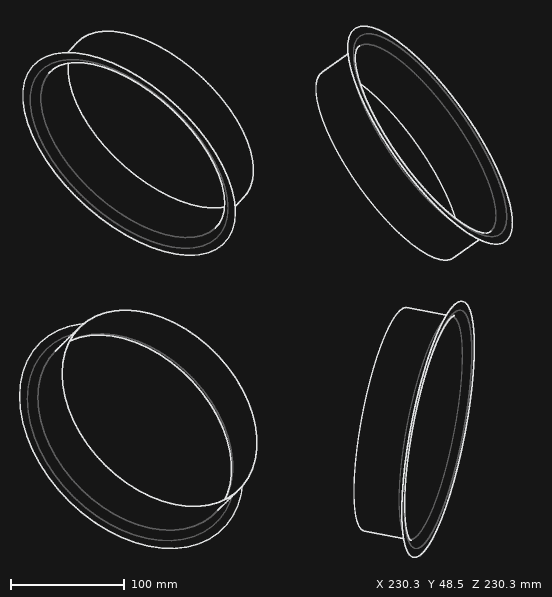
import cadquery as cq
import math

inner_diameter = 200.35
flange_diameter = 230.35
sheet_thickness = 0.5
overall_length = 48.5
bend_inside_radius = 6.5

inner_radius = inner_diameter / 2
outer_radius = inner_radius + sheet_thickness
flange_radius = flange_diameter / 2
bend_outside_radius = bend_inside_radius + sheet_thickness
bend_center_radius = inner_radius + bend_outside_radius
bend_center_y = bend_outside_radius


def bend_midpoint(radius):
    """Middle of a quarter bend, on the side facing the axis and the flange face."""
    offset = radius * math.sqrt(0.5)
    return (bend_center_radius - offset, bend_center_y - offset)


def make_flanged_collar():
    """Thin sheet collar along +Y, flared through a quarter bend into a flat flange at Y = 0."""
    profile = (
        cq.Workplane("XY")
        .moveTo(inner_radius, overall_length)
        .lineTo(inner_radius, bend_center_y)
        .threePointArc(bend_midpoint(bend_outside_radius), (bend_center_radius, 0))
        .lineTo(flange_radius, 0)
        .lineTo(flange_radius, sheet_thickness)
        .lineTo(bend_center_radius, sheet_thickness)
        .threePointArc(bend_midpoint(bend_inside_radius), (outer_radius, bend_center_y))
        .lineTo(outer_radius, overall_length)
        .close()
    )
    return profile.revolve(360, (0, 0, 0), (0, 1, 0))


result = make_flanged_collar()